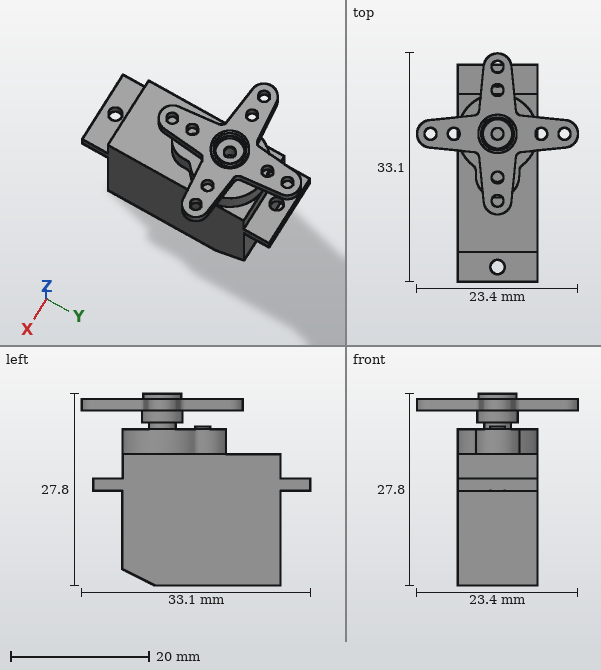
import cadquery as cq
import math


total_length = 33.1
horn_span = 23.35
arm_reach = horn_span / 2

flange_bottom = 13.7
flange_top = 15.5
case_top = 19.0
cover_top = 22.65
pin_top = 23.05
horn_bottom = 23.57
arm_bottom = 25.32
arm_top = 27.0
horn_top = 27.77

case_width = 11.6
case_front = -17.1
case_back_lower = 5.83
case_back_upper = 5.75
flange_front = arm_reach - total_length
flange_back = 10.03
bevel_height = 2.38
bevel_end_y = 1.13
mount_hole_diameter = 2.05
mount_hole_inset = 2.15

cover_radius = case_width / 2
lobe_radius = 3.15
lobe_y = -6.1
cover_fillet = 1.0

pin_radius = 1.1
pin_y = -5.85
shaft_radius = 1.95

arm_tip_radius = 2.02
arm_taper = 5.7
arm_count = 4
corner_fillet = 0.83
screw_hole_radius = 0.85
arm_hole_positions = (6.32, 9.7)
lower_collar_radius = 2.95
upper_collar_radius = 2.78
recess_radius = 2.12
recess_depth = 1.5
recess_chamfer = 0.25
recess_chamfer_depth = 0.45
recess_floor_thickness = 0.4
recess_floor = horn_top - recess_depth
shaft_top = recess_floor - recess_floor_thickness


def cylinder(radius, bottom, top, y=0):
    """Upright cylinder centred on X = 0."""
    return cq.Workplane("XY", origin=(0, y, bottom)).circle(radius).extrude(top - bottom)


def make_case():
    """Box with a bevelled back bottom edge and two drilled mounting flanges."""
    outline = [
        (case_front, 0),
        (bevel_end_y, 0),
        (case_back_lower, bevel_height),
        (case_back_lower, flange_bottom),
        (flange_back, flange_bottom),
        (flange_back, flange_top),
        (case_back_upper, flange_top),
        (case_back_upper, case_top),
        (case_front, case_top),
        (case_front, flange_top),
        (flange_front, flange_top),
        (flange_front, flange_bottom),
        (case_front, flange_bottom),
    ]
    case = cq.Workplane("YZ").polyline(outline).close().extrude(case_width / 2, both=True)
    for y in (flange_front + mount_hole_inset, flange_back - mount_hole_inset):
        case = case.cut(cylinder(mount_hole_diameter / 2, flange_bottom, flange_top, y))
    return case


def make_cover():
    """Round gear cover with a smaller round lobe, blended at the inner corners."""
    lobe_bridge = (
        cq.Workplane("XY", origin=(0, lobe_y / 2, case_top))
        .rect(2 * lobe_radius, -lobe_y)
        .extrude(cover_top - case_top)
    )
    cover = (
        cylinder(cover_radius, case_top, cover_top)
        .union(lobe_bridge)
        .union(cylinder(lobe_radius, case_top, cover_top, lobe_y))
    )
    corner_y = -math.sqrt(cover_radius**2 - lobe_radius**2)
    middle_z = (case_top + cover_top) / 2
    for x in (-lobe_radius, lobe_radius):
        corner = cq.selectors.NearestToPointSelector((x, corner_y, middle_z))
        cover = cover.edges("|Z").edges(corner).fillet(cover_fillet)
    return cover


def make_shaft():
    """Output shaft with a screw hole along its whole length."""
    screw_hole = cylinder(screw_hole_radius, cover_top, shaft_top)
    return cylinder(shaft_radius, cover_top, shaft_top).cut(screw_hole)


def make_arm():
    """Tapered arm along +Y, its straight sides tangent to the round tip."""
    taper = math.radians(arm_taper)
    tip_centre = arm_reach - arm_tip_radius
    side_x = arm_tip_radius * math.cos(taper)
    side_y = tip_centre + arm_tip_radius * math.sin(taper)
    root_x = side_x + side_y * math.tan(taper)
    return (
        cq.Workplane("XY", origin=(0, 0, arm_bottom))
        .moveTo(-root_x, 0)
        .lineTo(-side_x, side_y)
        .threePointArc((0, arm_reach), (side_x, side_y))
        .lineTo(root_x, 0)
        .close()
        .extrude(arm_top - arm_bottom)
    )


def make_cross():
    """Four arms with rounded inner corners and two holes in each arm."""
    arm = make_arm()
    turns = [i * 360 / arm_count for i in range(arm_count)]
    cross = arm
    for turn in turns[1:]:
        cross = cross.union(arm.rotate((0, 0, 0), (0, 0, 1), turn))
    inner_corners = cq.selectors.BoxSelector(
        (-arm_reach / 2, -arm_reach / 2, arm_bottom),
        (arm_reach / 2, arm_reach / 2, arm_top),
    )
    cross = cross.edges("|Z").edges(inner_corners).fillet(corner_fillet)
    for y in arm_hole_positions:
        hole = cylinder(screw_hole_radius, arm_bottom, arm_top, y)
        for turn in turns:
            cross = cross.cut(hole.rotate((0, 0, 0), (0, 0, 1), turn))
    return cross


def make_horn():
    """Cross on a stepped hub with a screw recess above and a shaft socket below."""
    recess_mouth_radius = recess_radius + recess_chamfer
    chamfer_bottom = horn_top - recess_chamfer_depth
    bore_profile = [
        (0, horn_bottom),
        (shaft_radius, horn_bottom),
        (shaft_radius, shaft_top),
        (screw_hole_radius, shaft_top),
        (screw_hole_radius, recess_floor),
        (recess_radius, recess_floor),
        (recess_radius, chamfer_bottom),
        (recess_mouth_radius, horn_top),
        (0, horn_top),
    ]
    bore = cq.Workplane("XZ").polyline(bore_profile).close().revolve(360, (0, 0), (0, 1))
    return (
        make_cross()
        .union(cylinder(lower_collar_radius, horn_bottom, arm_bottom))
        .union(cylinder(upper_collar_radius, arm_bottom, horn_top))
        .cut(bore)
    )


case = make_case()
cover = make_cover()
pin = cylinder(pin_radius, cover_top, pin_top, pin_y)
shaft = make_shaft()
horn = make_horn()

result = cq.Compound.makeCompound([case.val(), cover.val(), pin.val(), shaft.val(), horn.val()])